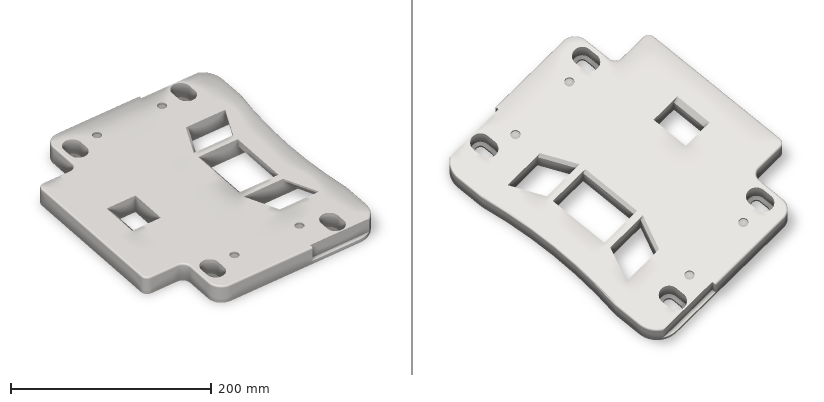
import cadquery as cq

width = 297.5
length = 250.0
thickness = 21.0
back_y = length / 2
front_y = -length / 2

back_corner_radius = 26.5
side_corner_radius = 16.0

tab_width = 185.0
tab_length = 48.5
tab_root_radius = 9.0
tab_corner_radius = 7.5
shoulder_y = front_y + tab_length

hollow_half_width = 90.2
hollow_depth = 7.5

top_edge_radius = 2.0

side_step_depth = 4.5
side_step_floor = 4.2
side_step_front_y = back_y - 84.5

slot_width = 12.0
slot_spread = 10.0
counterbore_width = 20.8
counterbore_floor = 3.0
back_slot_x = 127.5
back_slot_y = back_y - 44.5
front_slot_x = 117.5
front_slot_y = back_y - 185.0

hole_diameter = 10.0
hole_depth = 2.5
hole_spacing_x = 235.0
hole_spacing_y = 80.0
hole_center_x = -4.8
hole_center_y = back_y - 115.0

window_height = 48.5
window_back_y = back_y - 44.5
window_bevel = 3.5
middle_window_half_width = 34.8
side_window_inner_x = 43.0
side_window_outer_x = 80.5
side_window_rise = 17.3

pocket_reach = 18.2
middle_lip_thickness = 8.5
side_lip_thickness = 2.5

tab_window_width = 43.5
tab_window_height = 35.5
tab_window_back_y = back_y - 180.0
tab_window_bevel = 5.5


def plate():
    """Plate with a rounded top edge, the front tab and the hollow back edge."""
    half_width = width / 2
    half_tab = tab_width / 2
    body = (
        cq.Workplane("XY")
        .moveTo(-half_tab, front_y)
        .lineTo(half_tab, front_y)
        .lineTo(half_tab, shoulder_y)
        .lineTo(half_width, shoulder_y)
        .lineTo(half_width, back_y)
        .lineTo(hollow_half_width, back_y)
        .threePointArc((0, back_y - hollow_depth), (-hollow_half_width, back_y))
        .lineTo(-half_width, back_y)
        .lineTo(-half_width, shoulder_y)
        .lineTo(-half_tab, shoulder_y)
        .close()
        .extrude(thickness)
    )
    rounded_corners = [
        (half_tab, front_y, tab_corner_radius),
        (half_tab, shoulder_y, tab_root_radius),
        (half_width, shoulder_y, side_corner_radius),
        (half_width, back_y, back_corner_radius),
    ]
    for x, y, radius in rounded_corners:
        for corner_x in (-x, x):
            corner = cq.selectors.NearestToPointSelector((corner_x, y, thickness / 2))
            body = body.edges("|Z").edges(corner).fillet(radius)
    return body.faces(">Z").edges().fillet(top_edge_radius)


def side_steps():
    """Blocks that notch the two long sides above a thin ledge."""
    step_length = back_y - side_step_front_y
    return (
        cq.Workplane("XY", origin=(0, 0, side_step_floor))
        .pushPoints([(side * width / 2, side_step_front_y + step_length / 2) for side in (-1, 1)])
        .rect(2 * side_step_depth, step_length)
        .extrude(thickness - side_step_floor)
    )


def mounting_slots():
    """Through slots, each with a wider slot sunk from the top."""
    centers = []
    for side in (-1, 1):
        centers.append((side * back_slot_x, back_slot_y))
        centers.append((side * front_slot_x, front_slot_y))
    through = (
        cq.Workplane("XY")
        .pushPoints(centers)
        .slot2D(slot_spread + slot_width, slot_width)
        .extrude(thickness)
    )
    counterbores = (
        cq.Workplane("XY", origin=(0, 0, counterbore_floor))
        .pushPoints(centers)
        .slot2D(slot_spread + counterbore_width, counterbore_width)
        .extrude(thickness - counterbore_floor)
    )
    return through.union(counterbores)


def blind_holes():
    """Four shallow round holes in the top face."""
    return (
        cq.Workplane("XY", origin=(hole_center_x, hole_center_y, thickness))
        .rect(hole_spacing_x, hole_spacing_y, forConstruction=True)
        .vertices()
        .circle(hole_diameter / 2)
        .extrude(-hole_depth)
    )


def window(left, right, height, bevel, lip_thickness=thickness, reach=0.0):
    """Window whose back edge runs from left to right, both (x, y) points.

    The top of the front wall is bevelled. If reach is set, a pocket below the
    lip extends that far behind the back edge.
    """
    front = bevel - height
    profile = [(0, thickness), (-height, thickness), (front, thickness - bevel), (front, 0)]
    if reach > 0:
        lip_z = thickness - lip_thickness
        profile += [(reach, 0), (reach, lip_z), (0, lip_z)]
    else:
        profile.append((0, 0))
    sections = []
    for x, y in (left, right):
        points = [cq.Vector(x, y + offset, z) for offset, z in profile]
        sections.append(cq.Wire.makePolygon(points, close=True))
    return cq.Workplane(cq.Solid.makeLoft(sections, True))


def window_row():
    """Middle window and the two slanted windows beside it."""
    windows = window(
        (-middle_window_half_width, window_back_y),
        (middle_window_half_width, window_back_y),
        window_height,
        window_bevel,
        middle_lip_thickness,
        pocket_reach,
    )
    for side in (-1, 1):
        windows = windows.union(
            window(
                (side * side_window_inner_x, window_back_y),
                (side * side_window_outer_x, window_back_y + side_window_rise),
                window_height,
                window_bevel,
                side_lip_thickness,
                pocket_reach,
            )
        )
    return windows


def tab_window():
    """Straight window near the tab with a bevelled front edge."""
    half = tab_window_width / 2
    left = (-half, tab_window_back_y)
    right = (half, tab_window_back_y)
    return window(left, right, tab_window_height, tab_window_bevel)


result = (
    plate()
    .cut(side_steps())
    .cut(mounting_slots())
    .cut(blind_holes())
    .cut(window_row())
    .cut(tab_window())
)